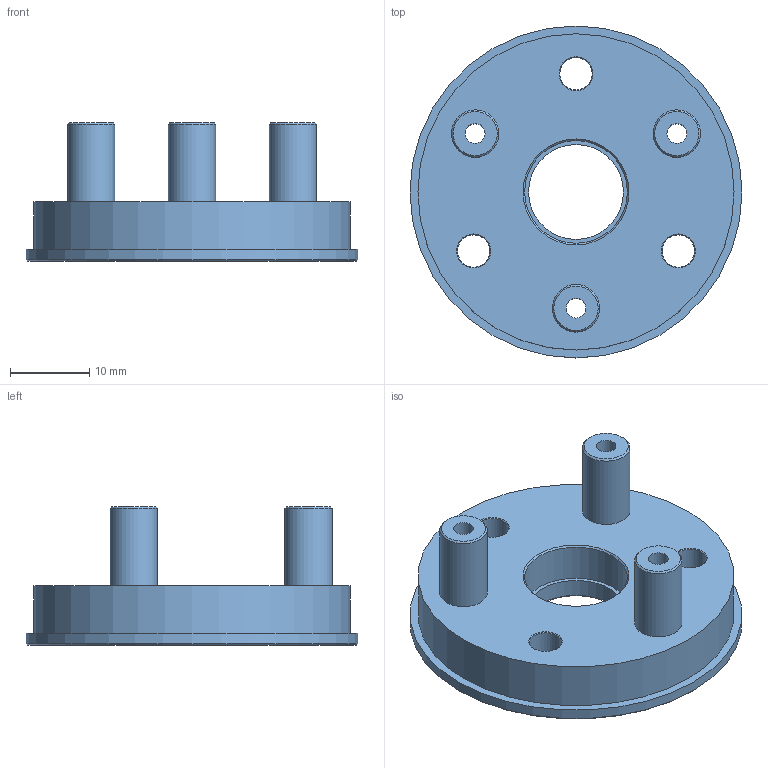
import cadquery as cq

flange_diameter = 42.0
flange_height = 1.5
body_diameter = 40.0
base_height = 7.5

bore_diameter = 12.0
seat_diameter = 13.0
seat_depth = 5.0

post_count = 3
post_diameter = 6.0
post_height = 10.0
post_hole_diameter = 2.5
post_circle_radius = 14.735
first_post_angle = 30.0

mount_count = 3
mount_hole_diameter = 4.1
mount_circle_radius = 14.95
first_mount_angle = 90.0

edge_chamfer = 0.2
mount_hole_chamfer = 0.1
chamfer_angle = 45.0

total_height = base_height + post_height


def make_base():
    flange = cq.Workplane("XY").circle(flange_diameter / 2).extrude(flange_height)
    flange = flange.faces("<Z").chamfer(edge_chamfer)
    body = cq.Workplane("XY").circle(body_diameter / 2).extrude(base_height)
    return flange.union(body)


def at_circle(bottom, circle_radius, first_angle, count):
    """Workplane at height `bottom` with points spread evenly around the Z axis."""
    plane = cq.Workplane("XY").workplane(offset=bottom)
    return plane.polarArray(circle_radius, first_angle, 360, count)


def make_posts():
    posts = at_circle(0, post_circle_radius, first_post_angle, post_count)
    posts = posts.circle(post_diameter / 2).extrude(total_height)
    return posts.faces(">Z").chamfer(edge_chamfer)


def make_post_holes():
    holes = at_circle(0, post_circle_radius, first_post_angle, post_count)
    return holes.circle(post_hole_diameter / 2).extrude(total_height)


def countersink(points, hole_diameter, chamfer):
    """Conical edge break that opens a hole up towards the top of the base."""
    rim = points.circle(hole_diameter / 2 + chamfer)
    return rim.extrude(-chamfer, taper=chamfer_angle)


def make_mount_holes():
    holes = at_circle(0, mount_circle_radius, first_mount_angle, mount_count)
    holes = holes.circle(mount_hole_diameter / 2).extrude(base_height)
    rims = at_circle(base_height, mount_circle_radius, first_mount_angle, mount_count)
    return holes.union(countersink(rims, mount_hole_diameter, mount_hole_chamfer))


def make_central_bore():
    bore = cq.Workplane("XY").circle(bore_diameter / 2).extrude(base_height)
    top = cq.Workplane("XY").workplane(offset=base_height)
    seat = top.circle(seat_diameter / 2).extrude(-seat_depth)
    bottom_rim = (
        cq.Workplane("XY")
        .circle(bore_diameter / 2 + edge_chamfer)
        .extrude(edge_chamfer, taper=chamfer_angle)
    )
    top_rim = countersink(top, seat_diameter, edge_chamfer)
    return bore.union(seat).union(bottom_rim).union(top_rim)


result = (
    make_base()
    .union(make_posts())
    .cut(make_post_holes())
    .cut(make_mount_holes())
    .cut(make_central_bore())
)